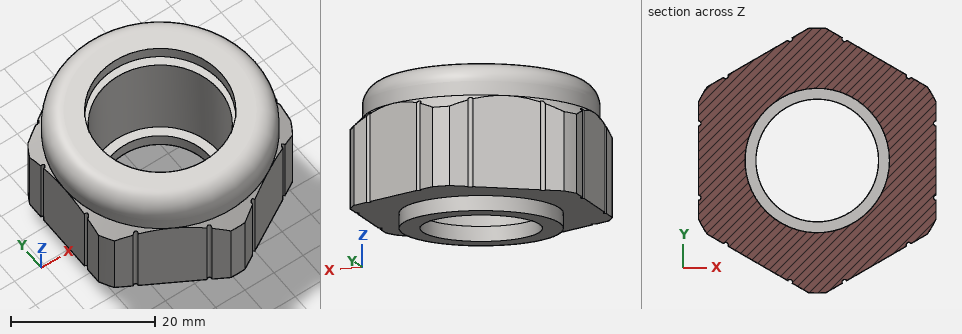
import cadquery as cq

across_flats = 33.0
across_corners = 36.8
total_height = 20.4

hex_bottom = 2.15
hex_top = 15.3

crown_flat_diameter = 26.8
spigot_diameter = 22.8
through_bore_diameter = 17.0
main_bore_diameter = 20.0
undercut_diameter = 24.0
mouth_diameter = 21.0

floor_height = hex_bottom
lip_thickness = 2.0
undercut_depth = 3.3

groove_diameter = 0.7
groove_spacing = 10.3
sides = 6

crown_radius = (across_flats - crown_flat_diameter) / 2
corner_chamfer = (across_corners - across_flats) / 2


def make_round_body():
    """Lower spigot and domed upper collar as plain turned shapes."""
    spigot = cq.Workplane("XY").circle(spigot_diameter / 2).extrude(hex_top)
    collar = (
        cq.Workplane("XY")
        .workplane(offset=hex_bottom)
        .circle(across_flats / 2)
        .extrude(total_height - hex_bottom)
        .faces(">Z")
        .edges()
        .fillet(crown_radius)
    )
    return spigot.union(collar)


def make_hexagon():
    """Hexagon with rounded-off corners and a 45 degree cone on the upper corners."""
    height = hex_top - hex_bottom
    base = cq.Workplane("XY").workplane(offset=hex_bottom)
    prism = base.polygon(sides, across_flats, circumscribed=True).extrude(height)
    turned_blank = (
        base.circle(across_corners / 2)
        .extrude(height)
        .faces(">Z")
        .edges()
        .chamfer(corner_chamfer)
    )
    return prism.intersect(turned_blank)


def make_grooves():
    """Cutters for two vertical round-bottomed grooves in every flat."""
    grooves = cq.Workplane("XY")
    groove_centres = [(across_flats / 2, sign * groove_spacing / 2) for sign in (-1, 1)]
    for side in range(sides):
        pair = (
            cq.Workplane("XY")
            .workplane(offset=hex_bottom)
            .pushPoints(groove_centres)
            .circle(groove_diameter / 2)
            .extrude(hex_top - hex_bottom)
            .rotate((0, 0, 0), (0, 0, 1), side * 360 / sides)
        )
        grooves = grooves.union(pair)
    return grooves


def make_bore():
    """Stepped bore: through hole, main bore, undercut and the mouth inside the top lip."""
    undercut_bottom = total_height - undercut_depth
    lip_bottom = total_height - lip_thickness
    steps = [
        (through_bore_diameter, 0, floor_height),
        (main_bore_diameter, floor_height, undercut_bottom),
        (undercut_diameter, undercut_bottom, lip_bottom),
        (mouth_diameter, lip_bottom, total_height),
    ]
    bore = cq.Workplane("XY")
    for diameter, bottom, top in steps:
        step = cq.Workplane("XY").workplane(offset=bottom).circle(diameter / 2).extrude(top - bottom)
        bore = bore.union(step)
    return bore


grooved_hexagon = make_hexagon().cut(make_grooves())
result = make_round_body().union(grooved_hexagon).cut(make_bore())